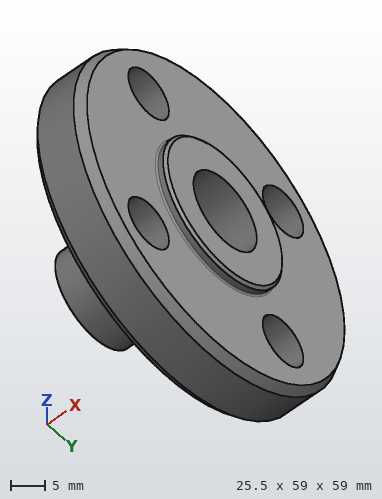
import cadquery as cq
import math

total_length = 25.5
flange_start = 14.0
raised_face_height = 1.8
flange_end = total_length - raised_face_height

bore_radius = 14.0 / 2
neck_radius = 17.2 / 2
raised_face_radius = 26.3 / 2
flange_radius = 59.0 / 2

neck_fillet = 4.0
neck_side_chamfer = 1.0
face_side_chamfer_depth = 1.0
face_side_chamfer_angle = math.radians(30)
face_side_chamfer_length = face_side_chamfer_depth / math.tan(face_side_chamfer_angle)
raised_face_root_fillet = 0.3
raised_face_chamfer = 0.5

bolt_count = 4
bolt_hole_diameter = 9.0
bolt_circle_diameter = 42.0
first_bolt_angle = 45.0


def concave_mid_point(center_x, center_r, radius, axial_side):
    """Middle of a quarter arc that faces the axis, on the given axial side of its center."""
    offset = radius * math.sqrt(0.5)
    return (center_x + axial_side * offset, center_r - offset)


def turned_body():
    """Neck, flange and raised face, revolved about the X axis around the bore."""
    neck_arc_center = (flange_start - neck_fillet, neck_radius + neck_fillet)
    root_arc_center = (flange_end + raised_face_root_fillet, raised_face_radius + raised_face_root_fillet)
    profile = (
        cq.Workplane("XY")
        .moveTo(0, bore_radius)
        .lineTo(0, neck_radius)
        .lineTo(flange_start - neck_fillet, neck_radius)
        .threePointArc(
            concave_mid_point(*neck_arc_center, neck_fillet, 1),
            (flange_start, neck_radius + neck_fillet),
        )
        .lineTo(flange_start, flange_radius - neck_side_chamfer)
        .lineTo(flange_start + neck_side_chamfer, flange_radius)
        .lineTo(flange_end - face_side_chamfer_length, flange_radius)
        .lineTo(flange_end, flange_radius - face_side_chamfer_depth)
        .lineTo(flange_end, raised_face_radius + raised_face_root_fillet)
        .threePointArc(
            concave_mid_point(*root_arc_center, raised_face_root_fillet, -1),
            (flange_end + raised_face_root_fillet, raised_face_radius),
        )
        .lineTo(total_length - raised_face_chamfer, raised_face_radius)
        .lineTo(total_length, raised_face_radius - raised_face_chamfer)
        .lineTo(total_length, bore_radius)
        .close()
    )
    return profile.revolve(360, (0, 0, 0), (1, 0, 0))


def bolt_holes():
    """Through holes for the bolts, evenly spaced on the bolt circle."""
    return (
        cq.Workplane("YZ")
        .polarArray(bolt_circle_diameter / 2, first_bolt_angle, 360, bolt_count)
        .circle(bolt_hole_diameter / 2)
        .extrude(total_length)
    )


result = turned_body().cut(bolt_holes())